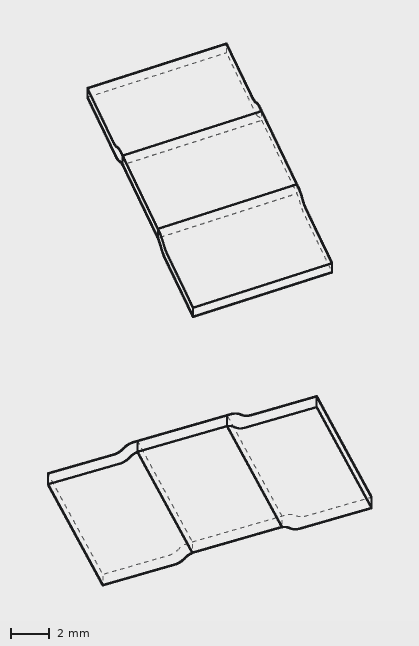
import cadquery as cq
import math

length = 15.0
width = 7.75
height = 1.34
thickness = 0.82

center_length = length / 3

bend_start = 3.85
bend_radius = 0.78
bend_slope = math.radians(45)
step = height - thickness
slope_rise = step - 2 * bend_radius * (1 - math.cos(bend_slope))
slope_run = slope_rise / math.tan(bend_slope)
bend_run = 2 * bend_radius * math.sin(bend_slope) + slope_run

bottom_shift = thickness * math.tan(bend_slope / 2)

joint_x = -center_length / 2
bottom_bend_start = -bend_start + bottom_shift
bottom_bend_end = bottom_bend_start + bend_run


def rising_arc_point(start_x, start_z, angle):
    """Point on the outer arc of a bend, where its slope equals the angle."""
    return (
        start_x + bend_radius * math.sin(angle),
        start_z + bend_radius * (1 - math.cos(angle)),
    )


def leveling_arc_point(end_x, end_z, angle):
    """Point on the inner arc of a bend, where its slope equals the angle."""
    return (
        end_x - bend_radius * math.sin(angle),
        end_z - bend_radius * (1 - math.cos(angle)),
    )


def make_left_terminal():
    """Stepped sheet from the -X end to the center plate."""
    mid_angle = bend_slope / 2
    joint_angle = math.asin((bottom_bend_end - joint_x) / bend_radius)
    mean_angle = (bend_slope + joint_angle) / 2
    top_bend_end = -bend_start + bend_run
    profile = (
        cq.Workplane("XZ", origin=(0, width / 2, 0))
        .moveTo(-length / 2, 0)
        .lineTo(bottom_bend_start, 0)
        .threePointArc(
            rising_arc_point(bottom_bend_start, 0, mid_angle),
            rising_arc_point(bottom_bend_start, 0, bend_slope),
        )
        .lineTo(*leveling_arc_point(bottom_bend_end, step, bend_slope))
        .threePointArc(
            leveling_arc_point(bottom_bend_end, step, mean_angle),
            leveling_arc_point(bottom_bend_end, step, joint_angle),
        )
        .lineTo(joint_x, height)
        .lineTo(top_bend_end, height)
        .threePointArc(
            leveling_arc_point(top_bend_end, height, mid_angle),
            leveling_arc_point(top_bend_end, height, bend_slope),
        )
        .lineTo(*rising_arc_point(-bend_start, thickness, bend_slope))
        .threePointArc(
            rising_arc_point(-bend_start, thickness, mid_angle),
            (-bend_start, thickness),
        )
        .lineTo(-length / 2, thickness)
        .close()
    )
    return profile.extrude(width)


def make_terminals():
    """Two terminals, the second turned half a turn about Z."""
    terminals = []
    for turn in (0, 180):
        terminals.append(make_left_terminal().rotate((0, 0, 0), (0, 0, 1), turn).val())
    return terminals


def make_center_plate():
    """Flat plate between the terminals, level with their raised ends."""
    return cq.Workplane("XY", origin=(0, 0, step)).box(
        center_length, width, thickness, centered=(True, True, False)
    )


center_plate = make_center_plate()
result = cq.Compound.makeCompound([center_plate.val(), *make_terminals()])